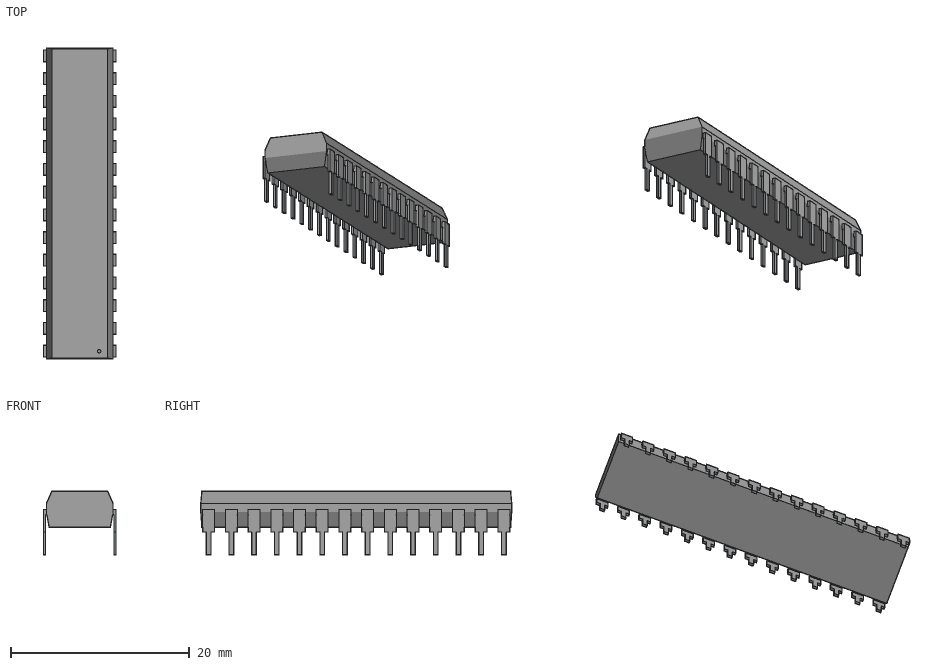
import cadquery as cq

BODY_WIDTH = 7.48
BODY_LENGTH = 34.8
CAP_WIDTH = 6.26
BASE_WIDTH = 6.88
END_INSET = 0.12
CAP_HEIGHT = 1.39
BELT_HEIGHT = 0.95
BASE_HEIGHT = 1.7

LEADS_PER_ROW = 14
LEAD_PITCH = 2.54
LEAD_SPAN = 8.12
LEAD_THICKNESS = 0.25
SHOULDER_WIDTH = 1.34
SHOULDER_HEIGHT = 2.54
PIN_WIDTH = 0.54
PIN_LENGTH = 2.54
TAB_HEIGHT = 0.62
TAB_EMBEDMENT = 0.3

MARK_DIAMETER = 0.37
MARK_DEPTH = 0.1
MARK_X = 2.17
MARK_END_DISTANCE = 0.87

SHOULDER_BOTTOM = PIN_LENGTH
LEAD_TOP = SHOULDER_BOTTOM + SHOULDER_HEIGHT
BODY_TOP = 7.12
BELT_TOP = BODY_TOP - CAP_HEIGHT
BELT_BOTTOM = BELT_TOP - BELT_HEIGHT


def tapered_block(z_start, height, end_width):
    """Frustum from the belt outline at z_start to a smaller rectangle; a negative height goes down."""
    return (
        cq.Workplane("XY", origin=(0, 0, z_start))
        .rect(BODY_WIDTH, BODY_LENGTH)
        .workplane(offset=height)
        .rect(end_width, BODY_LENGTH - 2 * END_INSET)
        .loft(ruled=True)
    )


def box_between(x_range, width, z_range):
    """Box spanning the given X and Z ranges, centred on Y = 0."""
    x_low, x_high = x_range
    z_low, z_high = z_range
    return (
        cq.Workplane("XY", origin=((x_low + x_high) / 2, 0, z_low))
        .rect(x_high - x_low, width)
        .extrude(z_high - z_low)
    )


def make_body():
    belt = (
        cq.Workplane("XY", origin=(0, 0, BELT_BOTTOM))
        .rect(BODY_WIDTH, BODY_LENGTH)
        .extrude(BELT_HEIGHT)
    )
    cap = tapered_block(BELT_TOP, CAP_HEIGHT, CAP_WIDTH)
    base = tapered_block(BELT_BOTTOM, -BASE_HEIGHT, BASE_WIDTH)
    return belt.union(cap).union(base)


def make_lead():
    """One lead of the +X row, centred on Y = 0."""
    outer_face = LEAD_SPAN / 2
    inner_face = outer_face - LEAD_THICKNESS
    tab_root = BODY_WIDTH / 2 - TAB_EMBEDMENT
    shoulder = box_between((inner_face, outer_face), SHOULDER_WIDTH, (SHOULDER_BOTTOM, LEAD_TOP))
    pin = box_between((inner_face, outer_face), PIN_WIDTH, (0, SHOULDER_BOTTOM))
    tab = box_between((tab_root, inner_face), SHOULDER_WIDTH, (LEAD_TOP - TAB_HEIGHT, LEAD_TOP))
    return shoulder.union(pin).union(tab)


def add_leads(part):
    right_lead = make_lead()
    left_lead = right_lead.mirror("YZ")
    first_y = -LEAD_PITCH * (LEADS_PER_ROW - 1) / 2
    for index in range(LEADS_PER_ROW):
        offset = (0, first_y + index * LEAD_PITCH, 0)
        part = part.union(right_lead.translate(offset))
        part = part.union(left_lead.translate(offset))
    return part


def cut_pin_one_mark(part):
    mark_y = -BODY_LENGTH / 2 + MARK_END_DISTANCE
    mark = (
        cq.Workplane("XY", origin=(MARK_X, mark_y, BODY_TOP - MARK_DEPTH))
        .circle(MARK_DIAMETER / 2)
        .extrude(MARK_DEPTH)
    )
    return part.cut(mark)


result = cut_pin_one_mark(add_leads(make_body()))